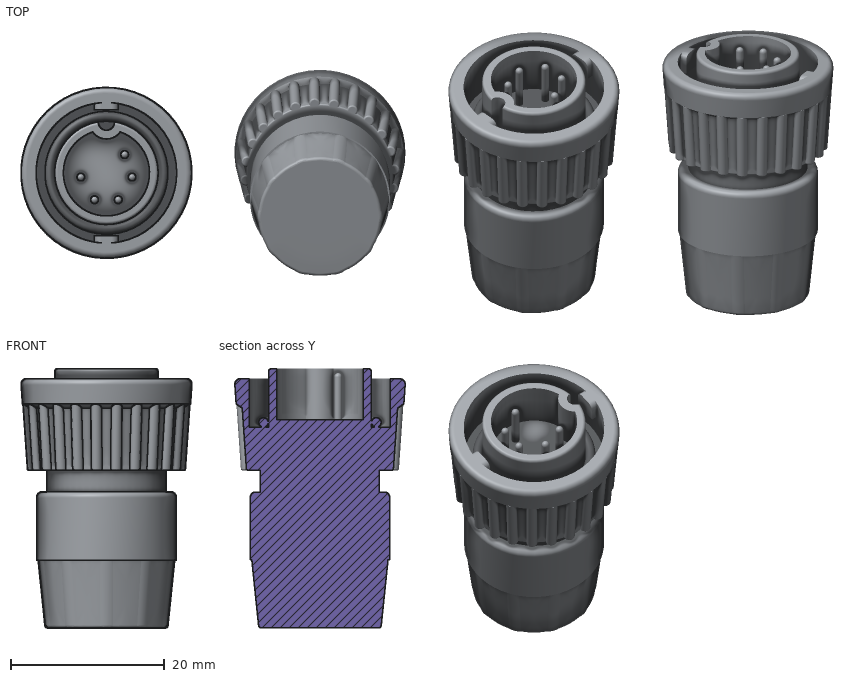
import cadquery as cq
import math


grip_top_z = 8.84
body_top_z = 17.71
ring_bottom_z = 20.5
collar_bottom_z = 29.12
collar_top_z = 32.43
shell_top_z = 33.72
gap_floor_z = 26.1
bore_floor_z = 27.1
pin_top_z = 33.15

grip_top_radius = 8.88
grip_taper = 5.9
ridge_count = 10
ridge_radius = 2.37
ridge_height = 0.1
grip_fillet = 0.4

body_radius = 9.1
body_fillet = 0.75
neck_radius = 7.77

collar_radius = 11.115
collar_taper = 3.95
collar_fillet = 0.75
collar_bore_radius = 9.14
rib_count = 24
rib_radius = 0.71
rib_depth = 0.77
shoulder_height = 0.55
ring_fillet = 0.2

tab_width = 3.12
tab_height = 2.6
tab_face_y = 8.19
tab_fillet = 0.86

shell_radius = 6.72
shell_fillet = 0.4
bore_radius = 5.6
key_center_y = 6.59
key_groove_radius = 1.05
key_wall_radius = 2.2
seal_radius = 0.65
seal_sink = 0.03

pin_radius = 0.5
pin_positions = [(2.37, 2.37), (3.33, -0.56), (-3.33, -0.56), (1.54, -3.5), (-1.54, -3.5)]

overlap = 0.5


def disc(radius, bottom_z, top_z):
    """A round bar along Z."""
    return cq.Workplane("XY").workplane(offset=bottom_z).circle(radius).extrude(top_z - bottom_z)


def frustum(bottom_radius, top_radius, bottom_z, top_z):
    """A solid cone section along Z."""
    cone = cq.Solid.makeCone(bottom_radius, top_radius, top_z - bottom_z, cq.Vector(0, 0, bottom_z))
    return cq.Workplane(obj=cone)


def leaning_bar(radius, center_radius, slope, bottom_z, top_z, angle):
    """A round bar that leans outward by slope; center_radius is its distance from Z at bottom_z."""
    height = top_z - bottom_z
    start = cq.Vector(center_radius - slope * overlap, 0, bottom_z - overlap)
    length = (height + overlap) * math.hypot(1, slope)
    bar = cq.Solid.makeCylinder(radius, length, start, cq.Vector(slope, 0, 1))
    return cq.Workplane(obj=bar.rotate(cq.Vector(0, 0, 0), cq.Vector(0, 0, 1), angle))


def fused(base, additions):
    """The base joined with all additions in one step."""
    shapes = [addition.val() for addition in additions]
    return cq.Workplane(obj=base.val().fuse(*shapes))


def make_grip():
    slope = math.tan(math.radians(grip_taper))
    bottom_radius = grip_top_radius - slope * grip_top_z
    grip = frustum(bottom_radius, grip_top_radius, 0, grip_top_z)
    ridge_center = bottom_radius + ridge_height - ridge_radius
    ridges = []
    for i in range(ridge_count):
        angle = 90 + i * 360 / ridge_count
        ridges.append(leaning_bar(ridge_radius, ridge_center, slope, 0, grip_top_z + overlap, angle))
    grip = fused(grip, ridges)
    grip = grip.intersect(disc(body_radius, 0, grip_top_z))
    return grip.faces("<Z").edges().fillet(grip_fillet)


def make_body():
    body = disc(body_radius, grip_top_z, body_top_z).faces(">Z").edges().fillet(body_fillet)
    return body.union(disc(neck_radius, body_top_z - overlap, ring_bottom_z + overlap))


def make_coupling_ring():
    slope = math.tan(math.radians(collar_taper))
    fillet_start_z = collar_top_z - collar_fillet

    def crown_radius(z):
        return collar_radius - slope * (fillet_start_z - z)

    groove_top_z = collar_bottom_z - shoulder_height
    ring = frustum(
        crown_radius(ring_bottom_z) - rib_depth, crown_radius(groove_top_z) - rib_depth,
        ring_bottom_z, groove_top_z,
    )
    rib_center = crown_radius(ring_bottom_z) - rib_radius
    ribs = []
    for i in range(rib_count):
        angle = (i + 0.5) * 360 / rib_count
        ribs.append(leaning_bar(rib_radius, rib_center, slope, ring_bottom_z, collar_bottom_z, angle))
    ring = fused(ring, ribs)
    ring = ring.intersect(disc(collar_radius, ring_bottom_z, collar_top_z))
    ring = ring.faces("<Z").edges().fillet(ring_fillet)

    under_collar = frustum(
        crown_radius(groove_top_z) - rib_depth, crown_radius(collar_bottom_z),
        groove_top_z, collar_bottom_z,
    )
    collar = frustum(
        crown_radius(collar_bottom_z), crown_radius(collar_top_z), collar_bottom_z, collar_top_z
    )
    collar = collar.faces(">Z").edges().fillet(collar_fillet)
    ring = ring.union(under_collar).union(collar)
    return ring.cut(disc(collar_bore_radius, gap_floor_z, collar_top_z))


def make_tab(side):
    """One bayonet tab, flush with the collar top; side is 1 for +Y and -1 for -Y."""
    depth = collar_bore_radius + overlap - tab_face_y
    tab = cq.Workplane("XY").box(tab_width, depth, tab_height)
    tab = tab.edges("|Y and >Z").fillet(tab_fillet)
    return tab.translate((0, side * (tab_face_y + depth / 2), collar_top_z - tab_height / 2))


def make_shell():
    shell = disc(shell_radius, gap_floor_z - overlap, shell_top_z)
    shell = shell.faces(">Z").edges().fillet(shell_fillet)
    key_wall = disc(key_wall_radius, bore_floor_z, shell_top_z).translate((0, key_center_y, 0))
    bore = disc(bore_radius, bore_floor_z, shell_top_z).cut(key_wall)
    key_groove = disc(key_groove_radius, gap_floor_z, shell_top_z).translate((0, key_center_y, 0))
    return shell.cut(bore).cut(key_groove)


def make_seal():
    """The seal ring lying on the gap floor around the shell."""
    offset = seal_radius - seal_sink
    ring = cq.Solid.makeTorus(shell_radius + offset, seal_radius, cq.Vector(0, 0, gap_floor_z + offset))
    return cq.Workplane(obj=ring)


def make_pin(x, y):
    pin = disc(pin_radius, bore_floor_z - overlap, pin_top_z - pin_radius)
    tip = cq.Workplane("XY").sphere(pin_radius).translate((0, 0, pin_top_z - pin_radius))
    return pin.union(tip).translate((x, y, 0))


parts = [make_body(), make_coupling_ring(), make_shell(), make_seal()]
parts += [make_tab(side) for side in (1, -1)]
parts += [make_pin(x, y) for x, y in pin_positions]
result = fused(make_grip(), parts).clean()